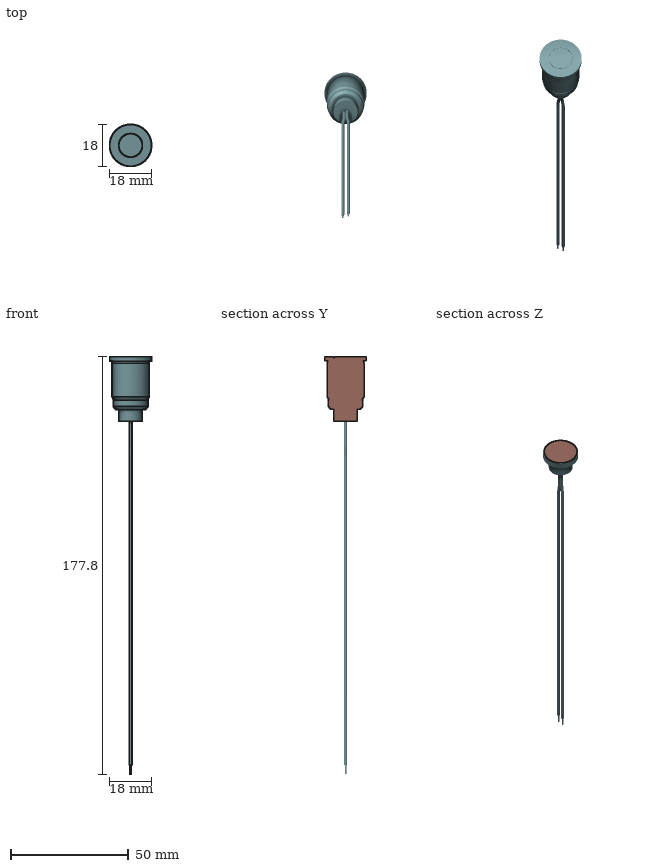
import cadquery as cq
import math

TOTAL_LENGTH = 177.8
TOP = TOTAL_LENGTH / 2

FLANGE_DIA = 18.0
BODY_DIA = 16.0
UNDERCUT_DIA = 15.3
COLLAR_DIA = 15.0
NECK_DIA = 14.2
COLLAR_END_DIA = 12.8
NUB_DIA = 10.1

FLANGE_DEPTH = 2.0
UNDERCUT_DEPTH = 2.8
BODY_DEPTH = 17.0
NECK_DEPTH = 18.5
COLLAR_DEPTH = 21.2
COLLAR_END_DEPTH = 22.5
NUB_DEPTH = 27.5

DISC_DIA = 10.0
RING_DEPTH = 0.4

WIRE_DIA = 1.3
CORE_DIA = 0.6
CLOSE_OFFSET = 0.68
SPREAD_OFFSET = 1.2
BEND_START_DEPTH = 37.5
BEND_END_DEPTH = 43.2
BEND_LENGTH = 0.9
INSULATION_DEPTH = 173.9
WIRE_EMBED = 0.9


def make_housing():
    """Stepped body of revolution about Z."""
    outline = [
        (0, TOP),
        (FLANGE_DIA / 2, TOP),
        (FLANGE_DIA / 2, TOP - FLANGE_DEPTH),
        (UNDERCUT_DIA / 2, TOP - FLANGE_DEPTH),
        (BODY_DIA / 2, TOP - UNDERCUT_DEPTH),
        (BODY_DIA / 2, TOP - BODY_DEPTH),
        (NECK_DIA / 2, TOP - NECK_DEPTH),
        (COLLAR_DIA / 2, TOP - NECK_DEPTH),
        (COLLAR_DIA / 2, TOP - COLLAR_DEPTH),
        (COLLAR_END_DIA / 2, TOP - COLLAR_END_DEPTH),
        (NUB_DIA / 2, TOP - COLLAR_END_DEPTH),
        (NUB_DIA / 2, TOP - NUB_DEPTH),
        (0, TOP - NUB_DEPTH),
    ]
    return cq.Workplane("XZ").polyline(outline).close().revolve(360, (0, 0), (0, 1))


def make_ring_groove():
    """Ring to remove between the centre disc and the flange."""
    return (
        cq.Workplane("XY", origin=(0, 0, TOP - RING_DEPTH))
        .circle(NUB_DIA / 2)
        .circle(DISC_DIA / 2)
        .extrude(RING_DEPTH)
    )


def make_wire(side):
    """Insulated wire with a bare end; side is +1 or -1 along Y."""
    spread = SPREAD_OFFSET - CLOSE_OFFSET
    slant = math.atan(spread / (BEND_END_DEPTH - BEND_START_DEPTH - BEND_LENGTH))
    bend_radius = BEND_LENGTH / math.sin(slant)
    bend_shift = bend_radius * (1 - math.cos(slant))
    half_shift = bend_radius * (1 - math.cos(slant / 2))
    half_drop = bend_radius * math.sin(slant / 2)

    def point(offset, depth):
        return (side * offset, TOP - depth)

    path = (
        cq.Workplane("YZ")
        .moveTo(*point(CLOSE_OFFSET, NUB_DEPTH - WIRE_EMBED))
        .lineTo(*point(CLOSE_OFFSET, BEND_START_DEPTH))
        .threePointArc(
            point(CLOSE_OFFSET + half_shift, BEND_START_DEPTH + half_drop),
            point(CLOSE_OFFSET + bend_shift, BEND_START_DEPTH + BEND_LENGTH),
        )
        .lineTo(*point(SPREAD_OFFSET - bend_shift, BEND_END_DEPTH - BEND_LENGTH))
        .threePointArc(
            point(SPREAD_OFFSET - half_shift, BEND_END_DEPTH - half_drop),
            point(SPREAD_OFFSET, BEND_END_DEPTH),
        )
        .lineTo(*point(SPREAD_OFFSET, INSULATION_DEPTH))
    )
    insulation = (
        cq.Workplane("XY", origin=(0, side * CLOSE_OFFSET, TOP - NUB_DEPTH + WIRE_EMBED))
        .circle(WIRE_DIA / 2)
        .sweep(path)
    )
    core = (
        cq.Workplane("XY", origin=(0, side * SPREAD_OFFSET, TOP - TOTAL_LENGTH))
        .circle(CORE_DIA / 2)
        .extrude(TOTAL_LENGTH - INSULATION_DEPTH + WIRE_EMBED)
    )
    return insulation.union(core)


result = make_housing().cut(make_ring_groove())
for wire_side in (1, -1):
    result = result.union(make_wire(wire_side))